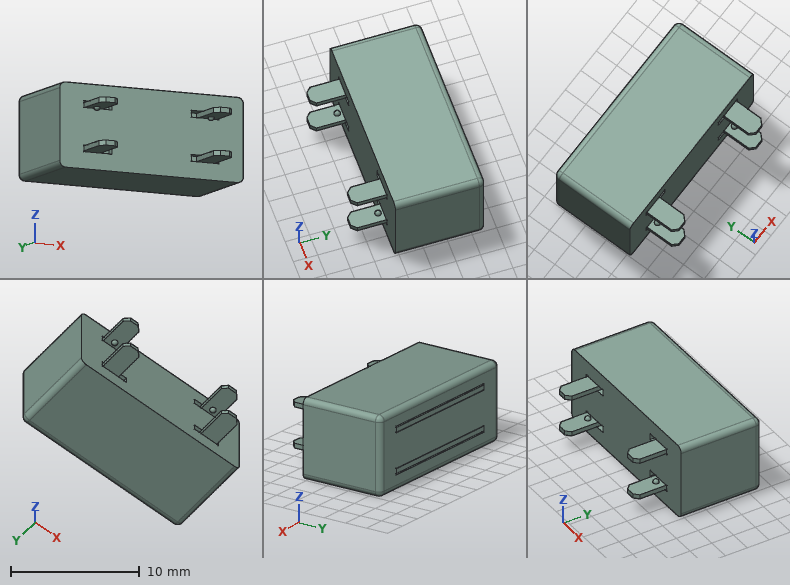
import cadquery as cq

HOUSING_LENGTH = 16.0
HOUSING_HEIGHT = 6.74
HOUSING_DEPTH = 7.38
EDGE_RADIUS = 0.5

SLOT_OUTER_X = 5.89
SLOT_WIDTH = 2.43
SLOT_INNER_X = SLOT_OUTER_X - SLOT_WIDTH
SLOT_BOTTOM_Z = 1.47
SLOT_HEIGHT = 0.55

PLATE_BOTTOM_Z = 1.5
PLATE_THICKNESS = 0.4
SHOULDER_SETBACK = 0.5
BRIDGE_START_Y = HOUSING_DEPTH - SLOT_WIDTH
PIN_PITCH = 9.95
PIN_WIDTH = 1.58
PIN_LENGTH = 2.78
TIP_CHAMFER = 0.4
BUMP_RADIUS = 0.25
BUMP_SETBACK = 0.42


def box(x_min, x_max, y_min, y_max, z_min, height):
    """A block given by its limits in X and Y, its bottom and its height."""
    return (
        cq.Workplane("XY", origin=(0, 0, z_min))
        .moveTo((x_min + x_max) / 2, (y_min + y_max) / 2)
        .rect(x_max - x_min, y_max - y_min)
        .extrude(height)
    )


def fork(z_min, height, leg_start):
    """Two legs along Y joined by a bridge that ends flush with the housing's back."""
    shape = box(-SLOT_OUTER_X, SLOT_OUTER_X, BRIDGE_START_Y, HOUSING_DEPTH, z_min, height)
    for x_min in (-SLOT_OUTER_X, SLOT_INNER_X):
        leg = box(x_min, x_min + SLOT_WIDTH, leg_start, HOUSING_DEPTH, z_min, height)
        shape = shape.union(leg)
    return shape


def make_housing():
    """Block rounded everywhere but at its front rim, with a fork-shaped slot for each terminal."""
    housing = (
        cq.Workplane("XY")
        .box(HOUSING_LENGTH, HOUSING_DEPTH, HOUSING_HEIGHT, centered=(True, False, True))
        .edges("|Y or >Y")
        .fillet(EDGE_RADIUS)
    )
    slot = fork(SLOT_BOTTOM_Z, SLOT_HEIGHT, 0)
    return housing.cut(slot).cut(slot.mirror("XY"))


def make_pin(x):
    """One pin with a chamfered tip and a round bump on its inner side."""
    half_width = PIN_WIDTH / 2
    pin = (
        box(x - half_width, x + half_width, -PIN_LENGTH, SHOULDER_SETBACK, PLATE_BOTTOM_Z, PLATE_THICKNESS)
        .edges("|Z and <Y")
        .chamfer(TIP_CHAMFER)
    )
    bump = cq.Workplane("XY").sphere(BUMP_RADIUS).translate((x, -BUMP_SETBACK, PLATE_BOTTOM_Z))
    return pin.union(bump)


def make_terminal():
    """The upper terminal: two pins on the shoulders of a fork-shaped plate."""
    terminal = fork(PLATE_BOTTOM_Z, PLATE_THICKNESS, SHOULDER_SETBACK)
    for x in (-PIN_PITCH / 2, PIN_PITCH / 2):
        terminal = terminal.union(make_pin(x))
    return terminal


housing = make_housing()
upper_terminal = make_terminal()
terminals = [upper_terminal, upper_terminal.mirror("XY")]

result = cq.Compound.makeCompound(
    [housing.solids().val(), *[terminal.solids().val() for terminal in terminals]]
)